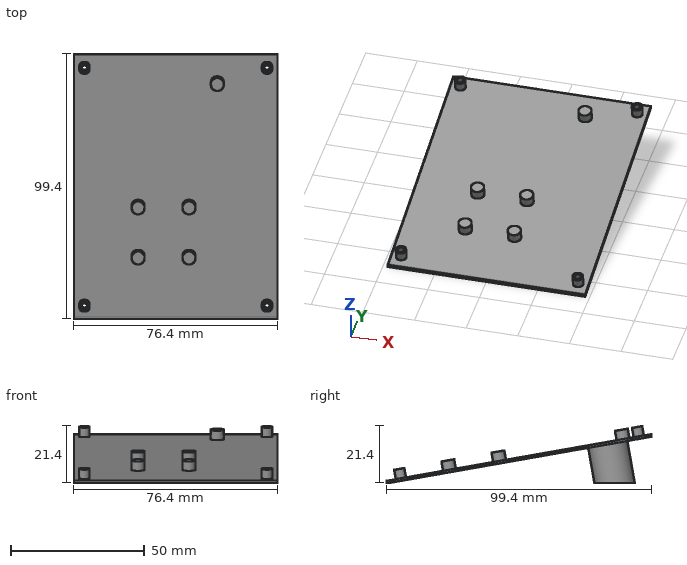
import cadquery as cq
import math

tilt = 10.0
overall_depth = 99.4
plate_width = 76.4
plate_thickness = 1.0
toe_depth = 0.8

post_diameter = 4.0
post_bore = 2.5
post_height = 3.6
post_side_inset = 4.0
post_end_inset = 4.8

button_diameter = 5.0
button_height = 3.6
button_pitch = 19.1
group_left = -14.1
group_front = 23.3
single_button = (15.6, 89.3)

leg_diameter = 15.0
leg_center = (-27.8, 83.4)

tilt_angle = math.radians(tilt)
plate_length = (overall_depth - toe_depth) / math.cos(tilt_angle)
post_x = plate_width / 2 - post_side_inset
post_points = [
    (x, y)
    for x in (-post_x, post_x)
    for y in (post_end_inset, plate_length - post_end_inset)
]
button_points = [
    (group_left + column * button_pitch, group_front + row * button_pitch)
    for column in range(2)
    for row in range(2)
] + [single_button]


def cylinders(points, diameter, start, height):
    """Equal cylinders standing at the given points of the untilted plate."""
    return cq.Workplane("XY").workplane(offset=start).pushPoints(points).circle(diameter / 2).extrude(height)


def make_plate():
    """Untilted plate with its lower front edge on the X axis."""
    return cq.Workplane("XY").box(
        plate_width, plate_length, plate_thickness, centered=(True, False, False)
    )


def make_toe():
    """Level strip ahead of the plate, reaching back to the plate's lower front edge."""
    toe = cq.Workplane("XY").box(plate_width, toe_depth, plate_thickness, centered=(True, False, False))
    return toe.translate((0, -toe_depth, 0))


def trim_at_ground(body):
    """Remove everything below z = 0."""
    block_size = 3 * overall_depth
    below = cq.Workplane("XY").box(block_size, block_size, block_size)
    return body.cut(below.translate((0, 0, -block_size / 2)))


leg_length = plate_length / 2

body = make_plate()
body = body.union(cylinders(post_points, post_diameter, plate_thickness, post_height))
body = body.union(cylinders(button_points, button_diameter, plate_thickness, button_height))
body = body.cut(cylinders(post_points, post_bore, 0, plate_thickness + post_height))
body = body.union(cylinders([leg_center], leg_diameter, -leg_length, leg_length))
body = body.rotate((0, 0, 0), (1, 0, 0), tilt)

result = trim_at_ground(body).union(make_toe())